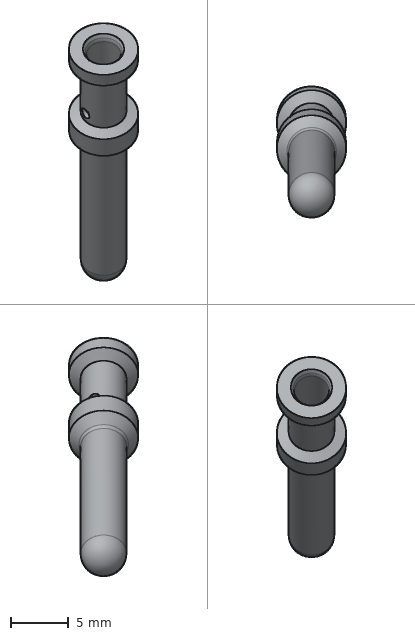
import cadquery as cq
import math

length = 29.1
flange_diameter = 6.0
shank_diameter = 4.0
flange_radius = flange_diameter / 2
shank_radius = shank_diameter / 2
flange_overhang = flange_radius - shank_radius

head_thickness = 1.4
head_taper_angle = 30.0
head_taper_height = flange_overhang * math.tan(math.radians(head_taper_angle))

collar_depth = 8.35
collar_height = 2.15
collar_upper_angle = 20.0
collar_lower_angle = 45.0
collar_upper_height = flange_overhang * math.tan(math.radians(collar_upper_angle))
collar_lower_height = flange_overhang * math.tan(math.radians(collar_lower_angle))
collar_fillet = 0.5

bore_diameter = 3.0
bore_depth = 8.0
drill_point_angle = 120.0
lead_in_depth = 0.5
lead_in_half_angle = 30.0
lead_in_fillet = 0.75
bore_radius = bore_diameter / 2
drill_point_height = bore_radius / math.tan(math.radians(drill_point_angle / 2))
mouth_radius = bore_radius + lead_in_depth * math.tan(math.radians(lead_in_half_angle))

inspection_diameter = 1.0
inspection_depth = 7.0

collar_top = length - collar_depth
collar_bottom = collar_top - collar_height
collar_root = collar_bottom - collar_lower_height

selection_margin = 0.03


def circles_at(body, radius, height):
    """Select the circular edges of a given radius at a given height."""
    reach = radius + selection_margin
    return body.edges(
        cq.selectors.BoxSelector(
            (-reach, -reach, height - selection_margin),
            (reach, reach, height + selection_margin),
            boundingbox=True,
        )
    )


def make_body():
    """Revolve the solid outer shape and round the root below the collar."""
    head_bottom = length - head_thickness
    tip_arc_offset = shank_radius * math.sqrt(0.5)
    profile = (
        cq.Workplane("XZ")
        .lineTo(0, length)
        .lineTo(flange_radius, length)
        .lineTo(flange_radius, head_bottom)
        .lineTo(shank_radius, head_bottom - head_taper_height)
        .lineTo(shank_radius, collar_top + collar_upper_height)
        .lineTo(flange_radius, collar_top)
        .lineTo(flange_radius, collar_bottom)
        .lineTo(shank_radius, collar_root)
        .lineTo(shank_radius, shank_radius)
        .threePointArc((tip_arc_offset, shank_radius - tip_arc_offset), (0, 0))
        .close()
    )
    body = profile.revolve(360, (0, 0, 0), (0, 1, 0))
    return circles_at(body, shank_radius, collar_root).fillet(collar_fillet)


def cut_bore(body):
    """Cut the blind bore and round where its lead-in meets the bore wall."""
    bore_bottom = length - bore_depth
    lead_in_bottom = length - lead_in_depth
    bore = (
        cq.Workplane("XZ")
        .moveTo(0, length)
        .lineTo(mouth_radius, length)
        .lineTo(bore_radius, lead_in_bottom)
        .lineTo(bore_radius, bore_bottom)
        .lineTo(0, bore_bottom - drill_point_height)
        .close()
        .revolve(360, (0, 0, 0), (0, 1, 0))
    )
    bored = body.cut(bore)
    return circles_at(bored, bore_radius, lead_in_bottom).fillet(lead_in_fillet)


def cut_inspection_hole(body):
    """Drill from the axis outwards through the -Y side only."""
    hole = (
        cq.Workplane("XZ")
        .center(0, length - inspection_depth)
        .circle(inspection_diameter / 2)
        .extrude(flange_radius)
    )
    return body.cut(hole)


result = cut_inspection_hole(cut_bore(make_body()))